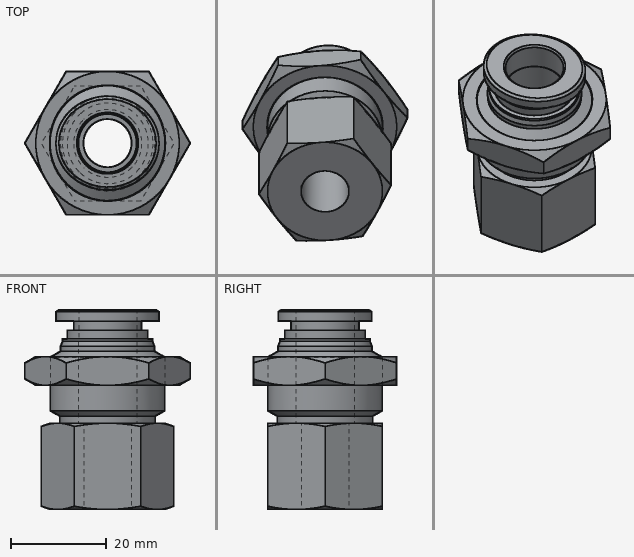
import cadquery as cq
import math

TOTAL_HEIGHT = 41.7
COLLAR_BOTTOM_Z = 39.32
FLANGE_TOP_Z = 37.5
SLEEVE_BOTTOM_Z = 35.65
LIP_TAPER_TOP_Z = 35.1
LIP_TAPER_BOTTOM_Z = 34.05
LIP_BOTTOM_Z = 33.05
NUT_TOP_Z = 31.95
NUT_HEIGHT = 6.0
THREAD_TAPER_Z = 20.65
BODY_HEX_HEIGHT = 18.0

COLLAR_LENGTH = 21.55
COLLAR_WIDTH = 19.6
COLLAR_BEVEL_HEIGHT = 0.4
COLLAR_BEVEL_WIDTH = 0.63
NECK_DIAMETER = 14.2
FLANGE_DIAMETER = 16.9
SLEEVE_BORE = 12.15
MOUTH_BEVEL_HEIGHT = 0.4
MOUTH_BEVEL_WIDTH = 0.38

LIP_TOP_DIAMETER = 18.9
LIP_DIAMETER = 19.7
THREAD_DIAMETER = 24.0
GROOVE_DIAMETER = 20.0
BODY_ACROSS_FLATS = THREAD_DIAMETER
SHOULDER_SLOPE = 30.0
BODY_HEX_BEVEL = 20.0
TUBE_BORE = 12.2
PASSAGE_BORE = 10.0
TUBE_STOP_Z = BODY_HEX_HEIGHT

NUT_ACROSS_FLATS = 30.0
NUT_HEX_BEVEL = 30.0
NUT_HOLE_BEVEL = 0.13


def revolve(profile):
    """Solid of revolution about Z from a closed list of (radius, z) points."""
    return cq.Workplane("XZ").polyline(profile).close().revolve(360, (0, 0, 0), (0, 1, 0))


def cylinder(diameter, bottom_z, top_z):
    return cq.Workplane("XY").workplane(offset=bottom_z).circle(diameter / 2).extrude(top_z - bottom_z)


def beveled_hexagon(across_flats, bottom_z, height, bevel_angle):
    """Hexagonal prism, corners on X, with corners coned off at both ends to the inscribed circle."""
    flat_radius = across_flats / 2
    corner_radius = flat_radius / math.cos(math.radians(30))
    bevel_drop = (corner_radius - flat_radius) * math.tan(math.radians(bevel_angle))
    top_z = bottom_z + height
    prism = cq.Workplane("XY").workplane(offset=bottom_z).polygon(6, 2 * corner_radius).extrude(height)
    envelope = revolve([
        (0, bottom_z),
        (flat_radius, bottom_z),
        (corner_radius, bottom_z + bevel_drop),
        (corner_radius, top_z - bevel_drop),
        (flat_radius, top_z),
        (0, top_z),
    ])
    return prism.intersect(envelope)


def make_sleeve():
    """Push-in release sleeve: elliptical collar, round neck and flange, with a straight bore."""
    collar = (
        cq.Workplane("XY").workplane(offset=COLLAR_BOTTOM_Z)
        .ellipse(COLLAR_LENGTH / 2, COLLAR_WIDTH / 2)
        .extrude(TOTAL_HEIGHT - COLLAR_BOTTOM_Z)
        .faces(">Z").edges().chamfer(COLLAR_BEVEL_HEIGHT, COLLAR_BEVEL_WIDTH)
    )
    neck = cylinder(NECK_DIAMETER, FLANGE_TOP_Z, COLLAR_BOTTOM_Z)
    flange = cylinder(FLANGE_DIAMETER, SLEEVE_BOTTOM_Z, FLANGE_TOP_Z)
    bore_radius = SLEEVE_BORE / 2
    bore = revolve([
        (0, SLEEVE_BOTTOM_Z),
        (bore_radius, SLEEVE_BOTTOM_Z),
        (bore_radius, TOTAL_HEIGHT - MOUTH_BEVEL_HEIGHT),
        (bore_radius + MOUTH_BEVEL_WIDTH, TOTAL_HEIGHT),
        (0, TOTAL_HEIGHT),
    ])
    return collar.union(neck).union(flange).cut(bore)


def make_body():
    """Bulkhead body: hexagonal base, grooved round shank with coned shoulders, and a stepped bore."""
    thread_radius = THREAD_DIAMETER / 2
    lip_radius = LIP_DIAMETER / 2
    groove_radius = GROOVE_DIAMETER / 2
    slope = math.tan(math.radians(SHOULDER_SLOPE))
    thread_top_z = LIP_BOTTOM_Z - (thread_radius - lip_radius) * slope
    groove_top_z = THREAD_TAPER_Z - (thread_radius - groove_radius) * slope
    shank = revolve([
        (0, BODY_HEX_HEIGHT),
        (groove_radius, BODY_HEX_HEIGHT),
        (groove_radius, groove_top_z),
        (thread_radius, THREAD_TAPER_Z),
        (thread_radius, thread_top_z),
        (lip_radius, LIP_BOTTOM_Z),
        (lip_radius, LIP_TAPER_BOTTOM_Z),
        (LIP_TOP_DIAMETER / 2, LIP_TAPER_TOP_Z),
        (LIP_TOP_DIAMETER / 2, SLEEVE_BOTTOM_Z),
        (0, SLEEVE_BOTTOM_Z),
    ])
    base = beveled_hexagon(BODY_ACROSS_FLATS, 0, BODY_HEX_HEIGHT, BODY_HEX_BEVEL)
    tube_bore = cylinder(TUBE_BORE, TUBE_STOP_Z, SLEEVE_BOTTOM_Z)
    passage = cylinder(PASSAGE_BORE, 0, TUBE_STOP_Z)
    return base.union(shank).cut(tube_bore).cut(passage)


def make_nut():
    """Hexagonal lock nut around the body thread, with lightly beveled hole edges."""
    bottom_z = NUT_TOP_Z - NUT_HEIGHT
    thread_radius = THREAD_DIAMETER / 2
    mouth_radius = thread_radius + NUT_HOLE_BEVEL
    hole = revolve([
        (0, bottom_z),
        (mouth_radius, bottom_z),
        (thread_radius, bottom_z + NUT_HOLE_BEVEL),
        (thread_radius, NUT_TOP_Z - NUT_HOLE_BEVEL),
        (mouth_radius, NUT_TOP_Z),
        (0, NUT_TOP_Z),
    ])
    return beveled_hexagon(NUT_ACROSS_FLATS, bottom_z, NUT_HEIGHT, NUT_HEX_BEVEL).cut(hole)


sleeve = make_sleeve()
body = make_body()
nut = make_nut()

result = cq.Compound.makeCompound([sleeve.val(), body.val(), nut.val()])